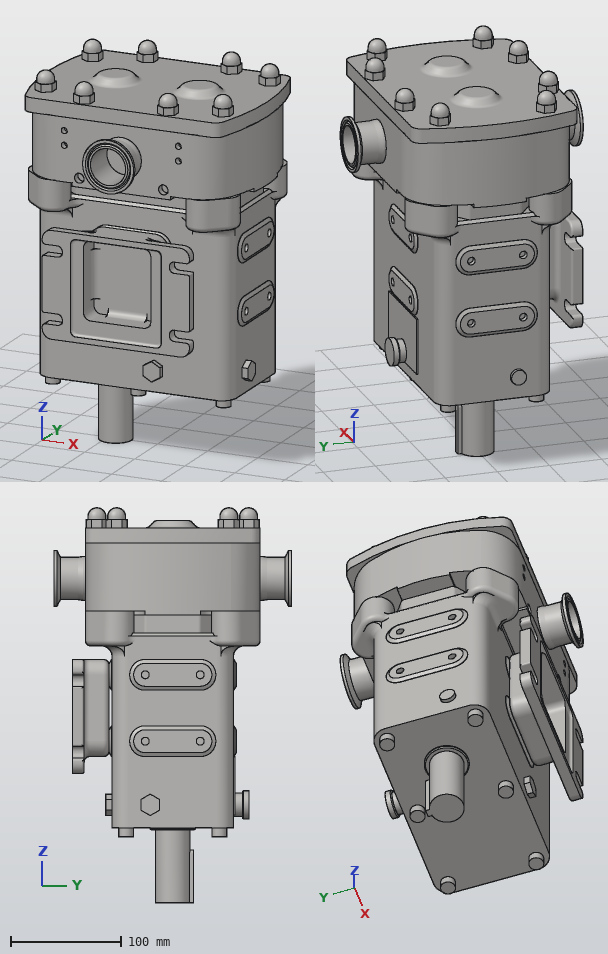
import cadquery as cq
import math

TOTAL_HEIGHT = 358.7
GEARBOX_BOTTOM = 68.0
GEARBOX_SHOULDER = 245.0
ROTOR_CASE_BOTTOM = 261.5
LUG_TOP = 264.7
COVER_BOTTOM = 326.5
COVER_TOP = 340.5

CASE_LENGTH = 220.0
CASE_DEPTH = 158.5
SHAFT_SPACING = 84.0
SHAFT_X = SHAFT_SPACING / 2
HEX_FLATS = 17.0
OVERLAP = 3.5

COVER_SIDE_RADIUS = 246.8
COVER_CORNER_RADIUS = 10.0
NUT_DOME_RADIUS = 8.3
NUT_HEX_HEIGHT = 7.5
NUT_PLACES = [(SHAFT_X, 69.0), (88.5, 51.0)]
BOSS_BASE_RADIUS = 22.5
BOSS_HEIGHT = 6.8
BOSS_FILLET = 5.5

CASE_SIDE_RADIUS = 158.0
CASE_CORNER_RADIUS = 39.5
NOTCH_X = 49.0
NOTCH_Y = 25.0
NOTCH_RADIUS = 14.5
PORT_Z = 294.5
PORT_END = 108.0
PORT_BORE_RADIUS = 17.5
PORT_BORE_DEPTH = 36.0
PORT_TUBE_RADIUS = 19.5
PORT_COLLAR_RADIUS = 20.0
PORT_COLLAR_END = 81.5
PORT_COLLAR_TAPER = 4.3
PORT_FLANGE_RADIUS = 25.5
PORT_FLANGE_THICKNESS = 3.0
PORT_FLANGE_CONE = 3.2
PORT_GROOVE_RADIUS = 21.0
PORT_GROOVE_SECTION = 1.5
GAUGE_HOLE_RADIUS = 3.0
GAUGE_HOLE_X = 57.0
GAUGE_HOLE_HEIGHTS = [299.5, 313.5]
DRAIN_HOLE_RADIUS = 4.5
DRAIN_HOLE_Z = 270.0
CASE_HOLE_DEPTH = 7.0

GEARBOX_LENGTH = 195.0
GEARBOX_DEPTH = 110.5
GEARBOX_CORNER_RADIUS = 15.0
SHOULDER_CHAMFER = 3.0
LUG_RADIUS = 15.8
LUG_ENDS = [(74.5, 63.5), (88.5, 51.0)]
LUG_BOTTOM = 233.0
LUG_BOTTOM_FILLET = 4.5
LUG_BLEND = 9.5
NECK_CORNER_X = 36.5
NECK_CORNER_Y = 27.3
NECK_EDGE_FILLET = 3.5

PAD_HEIGHTS = [146.7, 207.0]
PAD_RADIUS = 14.0
PAD_HALF_LENGTH = 39.0
PAD_THICKNESS = 2.5
PAD_BEVEL = 3.5
PAD_HOLE_RADIUS = 3.5
PAD_HOLE_SPACING = 50.0
PAD_HOLE_DEPTH = 5.5

PLATE_BACK = -80.5
PLATE_FRONT = -91.0
PLATE_HALF_LENGTH = 73.5
PLATE_BOTTOM = 117.3
PLATE_TOP = PAD_HEIGHTS[1] + PAD_RADIUS
PLATE_CORNER_RADIUS = 9.5
PLATE_SLOT_WIDTH = 10.8
PLATE_SLOT_DEPTH = 20.0
PLATE_SLOT_SPACING = 65.0
PLATE_SLOT_RADIUS = 5.0
PLATE_TAB_RADIUS = 3.2
PLATE_MOUTH_RADIUS = 1.5
PLATE_BACK_FILLET = 2.0
BLOCK_EDGE_FILLET = 5.0
BLOCK_PLATE_FILLET = 5.0
WINDOW_HALF_LENGTH = 33.7
WINDOW_BOTTOM = 138.8
WINDOW_TOP = 215.0
WINDOW_FLOOR = -65.3
WINDOW_CORNER_RADIUS = 7.5
WINDOW_RAMP_RADIUS = 6.0
WINDOW_RAMP_CLEARANCE = 14.5
REBATE_HALF_LENGTH = 45.2
REBATE_BOTTOM = 122.5
REBATE_TOP = 215.2
REBATE_DEPTH = 3.0
REBATE_CORNER_RADIUS = 5.0

PLUG_Z = 89.0
HEX_PLUG_HEIGHT = 5.7
FRONT_PLUG_X = 22.0
SIDE_PLUG_Y = -20.5
SIDE_PLUG_RADIUS = 7.0
SIDE_PLUG_HEIGHT = 3.5
GLASS_NECK_RADIUS = 10.8
GLASS_NECK_END = 63.0
GLASS_RIM_RADIUS = 13.0
GLASS_END = 69.2
GLASS_RIM_CHAMFER = 1.0

PANEL_BOTTOM = 79.5
PANEL_THICKNESS = 1.5

FOOT_RADIUS = 6.8
FOOT_HEIGHT = 8.3
FOOT_SPACING_X = 85.5
FOOT_SPACING_Y = 84.5
SEAL_RADIUS = 20.5
SEAL_HEIGHT = 2.0
SEAL_CHAMFER = 1.0
SHAFT_RADIUS = 15.8
KEY_WIDTH = 7.0
KEY_TOP = 48.0
KEY_OUTER_Y = 19.0


def barrel_prism(side_radius, corner_radius, bottom, top):
    """Prism with flat front and back, bulged ends and rounded corners."""
    half_length = CASE_LENGTH / 2
    half_depth = CASE_DEPTH / 2
    bulge = side_radius - math.sqrt(side_radius**2 - half_depth**2)
    corner_x = half_length - bulge
    return (
        cq.Workplane("XY", origin=(0, 0, bottom))
        .moveTo(-corner_x, -half_depth)
        .lineTo(corner_x, -half_depth)
        .threePointArc((half_length, 0), (corner_x, half_depth))
        .lineTo(-corner_x, half_depth)
        .threePointArc((-half_length, 0), (-corner_x, -half_depth))
        .close()
        .extrude(top - bottom)
        .edges("|Z")
        .fillet(corner_radius)
    )


def front_plane(y):
    """Sketch plane at depth y, with local x = X, local y = Z and normal -Y."""
    return cq.Workplane("XZ", origin=(0, y, 0))


def hexagon(plane, height):
    """Hexagonal prism whose corners lie on the local y axis of the plane."""
    corner_diameter = HEX_FLATS / math.cos(math.pi / 6)
    turned = plane.transformed(rotate=(0, 0, 30))
    return turned.polygon(6, corner_diameter).extrude(height)


def mirrored(points):
    """The points repeated in all four quadrants."""
    return [(sx * x, sy * y) for x, y in points for sx in (-1, 1) for sy in (-1, 1)]


def acorn_nut(x, y):
    dome_center = TOTAL_HEIGHT - NUT_DOME_RADIUS
    plane = cq.Workplane("XY", origin=(x, y, COVER_TOP - OVERLAP))
    nut = hexagon(plane, NUT_HEX_HEIGHT + OVERLAP)
    neck = plane.circle(NUT_DOME_RADIUS).extrude(dome_center - COVER_TOP + OVERLAP)
    dome = cq.Workplane("XY", origin=(x, y, dome_center)).sphere(NUT_DOME_RADIUS)
    return nut.union(neck).union(dome)


def make_cover():
    cover = barrel_prism(COVER_SIDE_RADIUS, COVER_CORNER_RADIUS, COVER_BOTTOM, COVER_TOP)
    bosses = (
        cq.Workplane("XY", origin=(0, 0, COVER_TOP))
        .pushPoints([(-SHAFT_X, 0), (SHAFT_X, 0)])
        .circle(BOSS_BASE_RADIUS)
        .extrude(BOSS_HEIGHT, taper=45)
    )
    cover = cover.union(bosses)
    boss_zone = cq.selectors.BoxSelector(
        (-SHAFT_X - BOSS_BASE_RADIUS - 3.5, -BOSS_BASE_RADIUS - 3.5, COVER_TOP - 0.5),
        (SHAFT_X + BOSS_BASE_RADIUS + 3.5, BOSS_BASE_RADIUS + 3.5, COVER_TOP + BOSS_HEIGHT + 0.5),
    )
    cover = cover.edges(boss_zone).edges("%CIRCLE").fillet(BOSS_FILLET)
    for x, y in mirrored(NUT_PLACES):
        cover = cover.union(acorn_nut(x, y))
    return cover


def port():
    """Pipe stub with a clamp flange, turned about Y and pointing to -Y."""
    flange_back = PORT_END - PORT_FLANGE_THICKNESS
    inside = CASE_DEPTH / 2 - OVERLAP
    groove_inner = PORT_GROOVE_RADIUS - PORT_GROOVE_SECTION
    groove_outer = PORT_GROOVE_RADIUS + PORT_GROOVE_SECTION
    profile = [
        (0, -inside),
        (PORT_COLLAR_RADIUS, -inside),
        (PORT_COLLAR_RADIUS, -PORT_COLLAR_END),
        (PORT_TUBE_RADIUS, -PORT_COLLAR_END - PORT_COLLAR_TAPER),
        (PORT_TUBE_RADIUS, -flange_back + PORT_FLANGE_CONE),
        (PORT_FLANGE_RADIUS, -flange_back),
        (PORT_FLANGE_RADIUS, -PORT_END),
        (groove_outer, -PORT_END),
        (PORT_GROOVE_RADIUS, -PORT_END + PORT_GROOVE_SECTION),
        (groove_inner, -PORT_END),
        (0, -PORT_END),
    ]
    stub = cq.Workplane("XY").polyline(profile).close().revolve(360, (0, 0), (0, 1))
    bore = front_plane(-PORT_END + PORT_BORE_DEPTH).circle(PORT_BORE_RADIUS).extrude(PORT_BORE_DEPTH)
    return stub.translate((0, 0, PORT_Z)), bore.translate((0, 0, PORT_Z))


def make_rotor_case():
    case = barrel_prism(CASE_SIDE_RADIUS, CASE_CORNER_RADIUS, ROTOR_CASE_BOTTOM, COVER_BOTTOM)
    for sx, sy in mirrored([(1, 1)]):
        step = cq.Workplane("XY").box(
            CASE_LENGTH, CASE_DEPTH, LUG_TOP - ROTOR_CASE_BOTTOM, centered=(True, True, False)
        )
        step = step.edges("|Z").fillet(NOTCH_RADIUS)
        case = case.cut(
            step.translate(
                (
                    sx * (NOTCH_X + CASE_LENGTH / 2),
                    sy * (NOTCH_Y + CASE_DEPTH / 2),
                    ROTOR_CASE_BOTTOM,
                )
            )
        )
    stub, bore = port()
    for angle in (0, 180):
        case = case.union(stub.rotate((0, 0, 0), (0, 0, 1), angle))
        case = case.cut(bore.rotate((0, 0, 0), (0, 0, 1), angle))
    hole_plane = front_plane(-CASE_DEPTH / 2 + CASE_HOLE_DEPTH)
    gauge_places = [(s * GAUGE_HOLE_X, z) for s in (-1, 1) for z in GAUGE_HOLE_HEIGHTS]
    gauge_holes = hole_plane.pushPoints(gauge_places).circle(GAUGE_HOLE_RADIUS).extrude(CASE_HOLE_DEPTH)
    drain_places = [(s * SHAFT_X, DRAIN_HOLE_Z) for s in (-1, 1)]
    drain_holes = hole_plane.pushPoints(drain_places).circle(DRAIN_HOLE_RADIUS).extrude(CASE_HOLE_DEPTH)
    return case.cut(gauge_holes).cut(drain_holes)


def gearbox_prism(inset, bottom, top):
    return (
        cq.Workplane("XY", origin=(0, 0, bottom))
        .rect(GEARBOX_LENGTH - 2 * inset, GEARBOX_DEPTH - 2 * inset)
        .extrude(top - bottom)
        .edges("|Z")
        .fillet(GEARBOX_CORNER_RADIUS - inset)
    )


def lug(bottom, top):
    """Slot-shaped column in the +X +Y quadrant, slanted across the gearbox corner."""
    (x1, y1), (x2, y2) = LUG_ENDS
    slant = math.degrees(math.atan2(y2 - y1, x2 - x1))
    length = math.hypot(x2 - x1, y2 - y1) + 2 * LUG_RADIUS
    return (
        cq.Workplane("XY", origin=((x1 + x2) / 2, (y1 + y2) / 2, bottom))
        .slot2D(length, 2 * LUG_RADIUS, slant)
        .extrude(top - bottom)
    )


def in_four_corners(shape):
    """The +X +Y corner shape together with its three mirror images."""
    half = shape.union(shape.mirror("YZ"))
    return half.union(half.mirror("XZ"))


def lug_band(bottom, top):
    """Gearbox section joined to the lugs, with blended inner corners."""
    section = gearbox_prism(0, bottom, top).union(in_four_corners(lug(bottom, top)))
    wall_x = GEARBOX_LENGTH / 2
    wall_y = GEARBOX_DEPTH / 2
    (x1, y1), (x2, y2) = LUG_ENDS
    meet_x = x1 - math.sqrt(LUG_RADIUS**2 - (y1 - wall_y) ** 2)
    meet_y = y2 - math.sqrt(LUG_RADIUS**2 - (wall_x - x2) ** 2)
    reach = 1.0
    for x, y in mirrored([(meet_x, wall_y), (wall_x, meet_y)]):
        zone = cq.selectors.BoxSelector(
            (x - reach, y - reach, bottom - reach), (x + reach, y + reach, top + reach)
        )
        section = section.edges("|Z").edges(zone).fillet(LUG_BLEND)
    return section.faces("<Z").edges().fillet(LUG_BOTTOM_FILLET)


def neck(bottom, top):
    """Narrower top section with slanted corners behind the lugs."""
    half_x = GEARBOX_LENGTH / 2 - SHOULDER_CHAMFER
    half_y = GEARBOX_DEPTH / 2 - SHOULDER_CHAMFER
    corner_x = half_x - NECK_CORNER_X
    corner_y = half_y - NECK_CORNER_Y
    outline = [
        (-corner_x, -half_y),
        (corner_x, -half_y),
        (half_x, -corner_y),
        (half_x, corner_y),
        (corner_x, half_y),
        (-corner_x, half_y),
        (-half_x, corner_y),
        (-half_x, -corner_y),
    ]
    prism = cq.Workplane("XY", origin=(0, 0, bottom)).polyline(outline).close().extrude(top - bottom)
    return prism.edges("|Z").fillet(NECK_EDGE_FILLET)


def boundary_box(half_x, half_y, level):
    """Selector for edges lying at one level inside a centred rectangle."""
    margin = 0.5
    return cq.selectors.BoxSelector(
        (-half_x - margin, -half_y - margin, level - margin),
        (half_x + margin, half_y + margin, level + margin),
        boundingbox=True,
    )


def lug_flare(underside):
    """Concave flare from the gearbox walls up to the flat undersides of the lugs."""
    overhang = (CASE_DEPTH - GEARBOX_DEPTH) / 2
    drop = LUG_BLEND + OVERLAP
    core = gearbox_prism(0, LUG_BOTTOM - drop, LUG_BOTTOM)
    brim = gearbox_prism(-overhang, LUG_BOTTOM, LUG_BOTTOM + OVERLAP)
    inner_loop = boundary_box(GEARBOX_LENGTH / 2, GEARBOX_DEPTH / 2, LUG_BOTTOM)
    ring = core.union(brim).edges(inner_loop).fillet(LUG_BLEND)
    return ring.intersect(underside.wires().toPending().extrude(-drop))


def gearbox_casting():
    shoulder_edge = GEARBOX_SHOULDER - SHOULDER_CHAMFER
    body = gearbox_prism(0, GEARBOX_BOTTOM, GEARBOX_SHOULDER)
    body = body.faces(">Z").chamfer(SHOULDER_CHAMFER - 0.05)
    band = lug_band(LUG_BOTTOM, shoulder_edge)
    flare = lug_flare(band.faces("<Z"))
    top_section = neck(shoulder_edge, ROTOR_CASE_BOTTOM)
    lugs = in_four_corners(lug(shoulder_edge, LUG_TOP))
    return body.union(band).union(flare).union(top_section).union(lugs)


def slot_pads():
    """Two pads with bevelled edges and two screw holes each, standing on a plane facing -Y."""
    straight = 2 * PAD_HALF_LENGTH
    pads = cq.Workplane("XZ")
    holes = cq.Workplane("XZ", origin=(0, PAD_HOLE_DEPTH - PAD_THICKNESS, 0))
    pads = pads.pushPoints([(0, z) for z in PAD_HEIGHTS]).slot2D(straight, 2 * PAD_RADIUS)
    pads = pads.extrude(PAD_THICKNESS).faces("<Y").chamfer(PAD_THICKNESS - 0.5, PAD_BEVEL)
    hole_places = [(s * PAD_HOLE_SPACING / 2, z) for s in (-1, 1) for z in PAD_HEIGHTS]
    holes = holes.pushPoints(hole_places).circle(PAD_HOLE_RADIUS).extrude(PAD_HOLE_DEPTH)
    return pads, holes


def with_pads(gearbox):
    pads, holes = slot_pads()
    for angle in (-90, 0, 90, 180):
        wall = GEARBOX_DEPTH / 2 if angle in (0, 180) else GEARBOX_LENGTH / 2
        gearbox = gearbox.union(pads.translate((0, -wall, 0)).rotate((0, 0, 0), (0, 0, 1), angle))
        if angle != 0:
            gearbox = gearbox.cut(holes.translate((0, -wall, 0)).rotate((0, 0, 0), (0, 0, 1), angle))
    return gearbox


def upright_prism(half_length, bottom, top, back, front, corner_radius):
    """Rounded rectangle in XZ, extruded towards -Y."""
    return (
        cq.Workplane("XZ", origin=(0, back, (bottom + top) / 2))
        .rect(2 * half_length, top - bottom)
        .extrude(back - front)
        .edges("|Y")
        .fillet(corner_radius)
    )


def bracket_plate():
    plate = upright_prism(
        PLATE_HALF_LENGTH, PLATE_BOTTOM, PLATE_TOP, PLATE_BACK, PLATE_FRONT, PLATE_CORNER_RADIUS
    )
    plate = plate.faces(">Y").edges().fillet(PLATE_BACK_FILLET)
    middle = (PLATE_BOTTOM + PLATE_TOP) / 2
    half_slot = PLATE_SLOT_WIDTH / 2
    for side in (-1, 1):
        for level in (-1, 1):
            slot_z = middle + level * PLATE_SLOT_SPACING / 2
            slot = upright_prism(
                PLATE_SLOT_DEPTH,
                slot_z - half_slot,
                slot_z + half_slot,
                PLATE_BACK,
                PLATE_FRONT,
                PLATE_SLOT_RADIUS,
            )
            plate = plate.cut(slot.translate((side * PLATE_HALF_LENGTH, 0, 0)))
            for lip, radius in ((level, PLATE_TAB_RADIUS), (-level, PLATE_MOUTH_RADIUS)):
                corner = (side * PLATE_HALF_LENGTH, PLATE_FRONT, slot_z + lip * half_slot)
                plate = plate.cut(mouth_rounding(corner, side, lip, radius))
    return plate


def mouth_rounding(corner, side, lip, radius):
    """Material to remove so that a slot lip ends in a quarter round."""
    x, y, z = corner
    square = (
        cq.Workplane("XZ", origin=(x - side * radius / 2, PLATE_BACK, z + lip * radius / 2))
        .rect(radius, radius)
        .extrude(PLATE_BACK - y)
    )
    round_bar = (
        cq.Workplane("XZ", origin=(x - side * radius, PLATE_BACK, z + lip * radius))
        .circle(radius)
        .extrude(PLATE_BACK - y)
    )
    return square.cut(round_bar)


def mounting_bracket():
    block_back = -GEARBOX_DEPTH / 2 - PAD_THICKNESS
    block_bottom = PAD_HEIGHTS[0] - PAD_RADIUS
    block = upright_prism(
        PAD_HALF_LENGTH, block_bottom, PLATE_TOP, block_back, PLATE_BACK - OVERLAP, PAD_RADIUS
    )
    block = block.faces(">Y").edges().fillet(BLOCK_EDGE_FILLET)
    brim = upright_prism(
        PLATE_HALF_LENGTH, PLATE_BOTTOM, PLATE_TOP + PAD_RADIUS, PLATE_BACK, PLATE_FRONT, PAD_RADIUS
    )
    block_foot = cq.selectors.BoxSelector(
        (-PAD_HALF_LENGTH - 0.5, PLATE_BACK - 0.5, block_bottom - 0.5),
        (PAD_HALF_LENGTH + 0.5, PLATE_BACK + 0.5, PLATE_TOP + 0.5),
        boundingbox=True,
    )
    flared = block.union(brim).edges(block_foot).fillet(BLOCK_PLATE_FILLET)
    trim = upright_prism(
        PLATE_HALF_LENGTH, PLATE_BOTTOM, PLATE_TOP, block_back, PLATE_BACK, PLATE_CORNER_RADIUS
    )
    bracket = flared.intersect(trim).union(block).union(bracket_plate())
    bracket = bracket.cut(bracket_window()).cut(bracket_rebate())
    for ramp in window_ramps():
        bracket = bracket.union(ramp)
    return bracket


def bracket_window():
    return upright_prism(
        WINDOW_HALF_LENGTH, WINDOW_BOTTOM, WINDOW_TOP, WINDOW_FLOOR, PLATE_FRONT, WINDOW_CORNER_RADIUS
    )


def floor_ramp(length):
    """Concave strip along Z, between the -X window wall and the window floor."""
    size = WINDOW_RAMP_RADIUS
    return (
        cq.Workplane("XY", origin=(0, 0, -length / 2))
        .moveTo(-OVERLAP / 2, OVERLAP / 2)
        .lineTo(size, OVERLAP / 2)
        .lineTo(size, 0)
        .radiusArc((0, -size), -size)
        .lineTo(-OVERLAP / 2, -size)
        .close()
        .extrude(length)
        .translate((-WINDOW_HALF_LENGTH, WINDOW_FLOOR, (WINDOW_BOTTOM + WINDOW_TOP) / 2))
    )


def window_ramps():
    """Strips that ease the window floor into its four walls, clear of the corners."""
    center = (0, 0, (WINDOW_BOTTOM + WINDOW_TOP) / 2)
    above = (0, 1, center[2])
    wall_shift = (WINDOW_TOP - WINDOW_BOTTOM) / 2 - WINDOW_HALF_LENGTH
    upright = floor_ramp(WINDOW_TOP - WINDOW_BOTTOM - 2 * WINDOW_RAMP_CLEARANCE)
    level = floor_ramp(2 * WINDOW_HALF_LENGTH - 2 * WINDOW_RAMP_CLEARANCE)
    ramps = [upright, upright.rotate(center, above, 180)]
    for angle, shift in ((90, wall_shift), (-90, -wall_shift)):
        ramps.append(level.rotate(center, above, angle).translate((0, 0, shift)))
    return ramps


def bracket_rebate():
    """Shallow bevelled recess around the window."""
    rebate = upright_prism(
        REBATE_HALF_LENGTH,
        REBATE_BOTTOM,
        REBATE_TOP,
        PLATE_FRONT + REBATE_DEPTH,
        PLATE_FRONT,
        REBATE_CORNER_RADIUS,
    )
    return rebate.faces(">Y").edges().fillet(REBATE_DEPTH - 0.18)


def hex_plugs():
    front_wall = cq.Workplane("XZ", origin=(FRONT_PLUG_X, -GEARBOX_DEPTH / 2, PLUG_Z))
    side_wall = cq.Workplane("YZ", origin=(GEARBOX_LENGTH / 2, SIDE_PLUG_Y, PLUG_Z))
    return hexagon(front_wall, HEX_PLUG_HEIGHT).union(hexagon(side_wall, HEX_PLUG_HEIGHT))


def side_plug():
    wall = cq.Workplane("YZ", origin=(-GEARBOX_LENGTH / 2, SIDE_PLUG_Y, PLUG_Z))
    return wall.circle(SIDE_PLUG_RADIUS).extrude(-SIDE_PLUG_HEIGHT)


def sight_glass():
    """Round oil gauge on the +Y wall."""
    wall = GEARBOX_DEPTH / 2
    plane = cq.Workplane("XZ", origin=(0, wall, PLUG_Z))
    neck = plane.circle(GLASS_NECK_RADIUS).extrude(wall - GLASS_NECK_END)
    rim = plane.workplane(offset=wall - GLASS_NECK_END).circle(GLASS_RIM_RADIUS)
    rim = rim.extrude(GLASS_NECK_END - GLASS_END).faces("<Y").chamfer(GLASS_RIM_CHAMFER)
    return neck.union(rim)


def back_panel():
    """Thin panel on the +Y wall, from the sight glass up to the lower pad."""
    height = PAD_HEIGHTS[0] - PAD_RADIUS - PANEL_BOTTOM
    return cq.Workplane("XY", origin=(0, GEARBOX_DEPTH / 2, PANEL_BOTTOM)).box(
        2 * PAD_HALF_LENGTH, 2 * PANEL_THICKNESS, height, centered=(True, True, False)
    )


def feet():
    return (
        cq.Workplane("XY", origin=(0, 0, GEARBOX_BOTTOM))
        .rarray(FOOT_SPACING_X, FOOT_SPACING_Y, 3, 2)
        .circle(FOOT_RADIUS)
        .extrude(-FOOT_HEIGHT)
    )


def drive_shaft():
    """Input shaft with its seal collar and key."""
    plane = cq.Workplane("XY", origin=(-SHAFT_X, 0, 0))
    shaft = plane.circle(SHAFT_RADIUS).extrude(GEARBOX_BOTTOM)
    seal = plane.workplane(offset=GEARBOX_BOTTOM - SEAL_HEIGHT).circle(SEAL_RADIUS).extrude(SEAL_HEIGHT)
    seal = seal.faces("<Z").chamfer(SEAL_CHAMFER)
    key = (
        cq.Workplane("XZ", origin=(-SHAFT_X, KEY_OUTER_Y, 0))
        .rect(KEY_WIDTH, 2 * KEY_TOP)
        .extrude(KEY_OUTER_Y)
        .edges("|Y")
        .fillet(KEY_WIDTH / 2 - 0.05)
    )
    key = key.intersect(plane.rect(2 * KEY_OUTER_Y, 2 * KEY_OUTER_Y).extrude(KEY_TOP))
    return shaft.union(seal).union(key)


def make_gearbox():
    gearbox = with_pads(gearbox_casting())
    gearbox = gearbox.union(mounting_bracket()).union(back_panel()).union(sight_glass())
    return gearbox.union(hex_plugs()).union(side_plug()).union(feet()).union(drive_shaft())


cover = make_cover()
rotor_case = make_rotor_case()
gearbox = make_gearbox()

result = cq.Compound.makeCompound([cover.val(), rotor_case.val(), gearbox.val()])